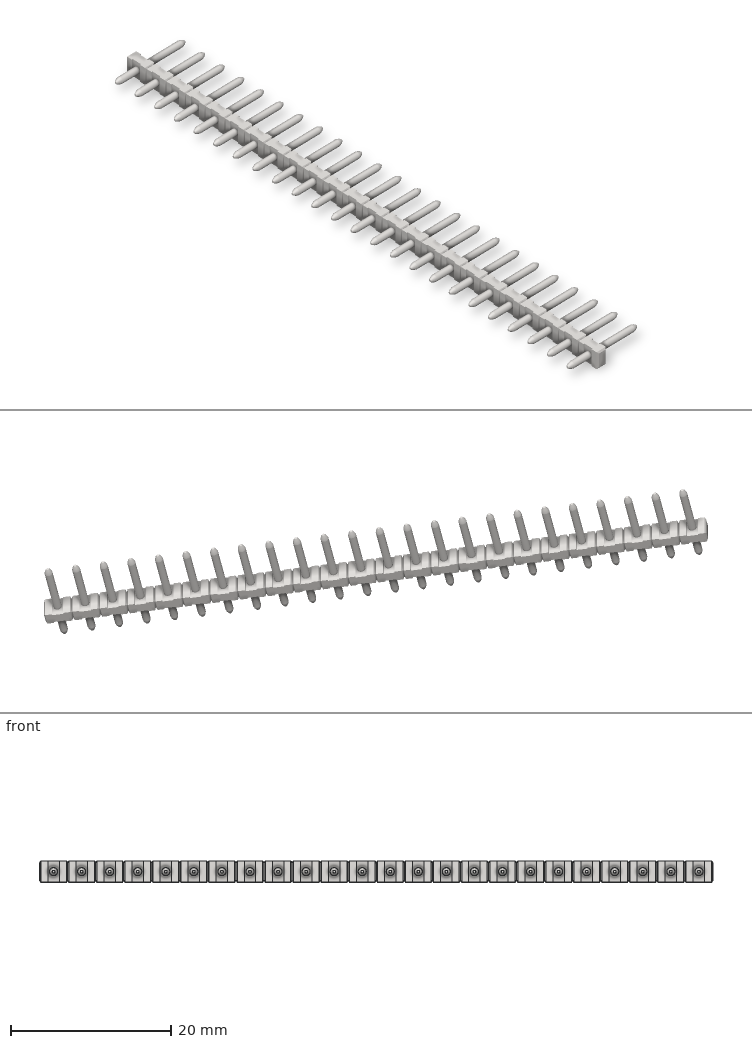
import cadquery as cq

overall_length = 84.0
pin_count = 24
pitch = overall_length / pin_count

block_height = 2.7
block_depth = 1.6
end_chamfer_length = 0.2
end_chamfer_inset = 0.25
groove_width = 1.4
groove_depth = 0.2

pin_diameter = 1.0
tip_length = 0.75
tip_flat_diameter = 0.3
tip_bulge = 0.06
front_reach = 3.5
back_reach = 6.9


def tapered_end(end_plane):
    """The chamfered end of a block, lofted outwards from its end face."""
    return (
        end_plane.rect(block_depth, block_height)
        .workplane(offset=end_chamfer_length)
        .rect(block_depth - 2 * end_chamfer_inset, block_height - 2 * end_chamfer_inset)
        .loft(ruled=True, combine=False)
    )


def block():
    """One insulator block, centred on the origin, with a vertical groove front and back."""
    straight_length = pitch - 2 * end_chamfer_length
    body = cq.Workplane("XY").box(straight_length, block_depth, block_height)
    for end_face in (">X", "<X"):
        body = body.union(tapered_end(body.faces(end_face).workplane()))
    grooves = (
        cq.Workplane("XY")
        .pushPoints([(0, -block_depth / 2), (0, block_depth / 2)])
        .box(groove_width, 2 * groove_depth, block_height)
    )
    return body.cut(grooves)


def pin():
    """One round pin along Y with a rounded, flat-ended tip at each end."""
    pin_radius = pin_diameter / 2
    flat_radius = tip_flat_diameter / 2
    front_tip = -block_depth / 2 - front_reach
    back_tip = block_depth / 2 + back_reach
    half_profile = (
        cq.Workplane("XY")
        .moveTo(0, front_tip)
        .lineTo(0, back_tip)
        .lineTo(flat_radius, back_tip)
        .sagittaArc((pin_radius, back_tip - tip_length), tip_bulge)
        .lineTo(pin_radius, front_tip + tip_length)
        .sagittaArc((flat_radius, front_tip), tip_bulge)
        .close()
    )
    return half_profile.revolve(360, (0, 0), (0, 1))


position = block().union(pin())
first_pin_x = -(overall_length - pitch) / 2

result = position.translate((first_pin_x, 0, 0))
for index in range(1, pin_count):
    result = result.union(position.translate((first_pin_x + index * pitch, 0, 0)))